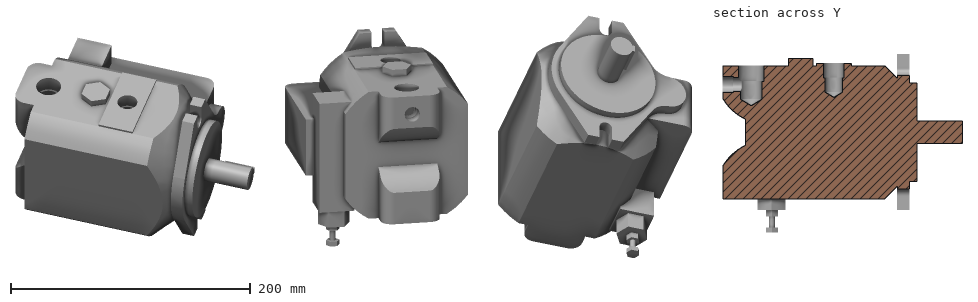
import cadquery as cq
import math


housing_length = 127.0
housing_radius = 65.0
cone_small_radius = 45.3
cone_length = housing_radius - cone_small_radius
housing_half_height = 55.7
housing_front_flat = -51.1
housing_back_flat = 53.1

flange_thickness = 10.2
pilot_radius = 41.3
pilot_end = 16.8
shaft_radius = 9.6
shaft_end = 54.7
key_length = 25.3
key_width = 6.0
key_top = 11.6

flange_half_height = 65.0
flange_tip_half_width = 15.5
flange_radius = 47.5
flange_corner_z = 24.0
flange_corner_y = math.sqrt(flange_radius**2 - flange_corner_z**2)
bolt_slot_width = 10.8
bolt_slot_center_z = 53.1
ear_radius = 16.0
ear_center_y = 54.1

boss_rear = -145.8
boss_half_width = 25.0
boss_corner_radius = 10.0
boss_rear_z = 28.0
boss_middle_x = -136.0
boss_middle_z = 16.6
boss_root_z = 10.8

drill_half_angle = 59.0
rear_port_x = -122.0
rear_port = (20.9, 17.6, 13.2, 28.0)
front_port_x = -53.0
front_port = (16.6, 14.0, 12.0, 24.0)
gauge_port_z = 39.9
gauge_port = (12.8, 11.2, 9.0, 16.0)

pad_start = -67.8
pad_length = 29.7
pad_height = 1.8
pad_half_width = 33.0
plug_x = -80.6
plug_across_flats = 21.0
plug_height = 6.0

cover_length = 96.6
cover_half_height = 24.7
cover_back = 80.8
cover_corner_radius = 9.0
valve_start = -119.7
valve_length = 29.7
valve_inner_y = 44.1
valve_outer_y = 73.8
valve_bottom = -50.3
valve_top = 45.5

cap_x = -104.9
cap_y = 58.7
screw_x = -104.5
screw_y = 59.5
cap_across_flats = 23.3
nut_across_flats = 9.8
screw_diameter = 5.0
cap_bottom = -65.0
nut_bottom = -70.4
head_top = -79.8
head_bottom = -84.0


def box(x_range, y_range, z_range):
    """Box between two limits along each axis."""
    (x0, x1), (y0, y1), (z0, z1) = x_range, y_range, z_range
    return cq.Workplane("XY").box(x1 - x0, y1 - y0, z1 - z0, centered=False).translate((x0, y0, z0))


def hexagon(x, y, across_flats, bottom, top):
    """Vertical hexagonal prism with two corners pointing along Y."""
    across_corners = across_flats / math.cos(math.radians(30))
    prism = cq.Workplane("XY").polygon(6, across_corners).extrude(top - bottom)
    return prism.rotate((0, 0, 0), (0, 0, 1), 30).translate((x, y, bottom))


def port_cutter(thread_diameter, drill_diameter, thread_depth, drill_depth):
    """Stepped hole with a conical bottom, running down from the origin."""
    thread_radius = thread_diameter / 2
    drill_radius = drill_diameter / 2
    tip_depth = drill_depth + drill_radius / math.tan(math.radians(drill_half_angle))
    return (
        cq.Workplane("XZ")
        .polyline([
            (0, 0),
            (-thread_radius, 0),
            (-thread_radius, -thread_depth),
            (-drill_radius, -thread_depth),
            (-drill_radius, -drill_depth),
            (0, -tip_depth),
        ])
        .close()
        .revolve(360, (0, 0, 0), (0, 1, 0))
    )


def make_housing():
    turned = (
        cq.Workplane("XZ")
        .polyline([
            (-housing_length, 0),
            (-housing_length, housing_radius),
            (-cone_length, housing_radius),
            (0, cone_small_radius),
            (0, 0),
        ])
        .close()
        .revolve(360, (0, 0, 0), (1, 0, 0))
    )
    flats = box(
        (-housing_length, 0),
        (housing_front_flat, housing_back_flat),
        (-housing_half_height, housing_half_height),
    )
    return turned.intersect(flats)


def make_drive_end():
    turned = (
        cq.Workplane("XZ")
        .polyline([
            (0, 0),
            (0, pilot_radius),
            (pilot_end, pilot_radius),
            (pilot_end, shaft_radius),
            (shaft_end, shaft_radius),
            (shaft_end, 0),
        ])
        .close()
        .revolve(360, (0, 0, 0), (1, 0, 0))
    )
    key = box((shaft_end - key_length, shaft_end), (0, key_top), (-key_width / 2, key_width / 2))
    return turned.union(key)


def make_flange():
    plate = (
        cq.Workplane("YZ")
        .moveTo(-flange_tip_half_width, flange_half_height)
        .lineTo(flange_tip_half_width, flange_half_height)
        .lineTo(flange_corner_y, flange_corner_z)
        .threePointArc((flange_radius, 0), (flange_corner_y, -flange_corner_z))
        .lineTo(flange_tip_half_width, -flange_half_height)
        .lineTo(-flange_tip_half_width, -flange_half_height)
        .lineTo(-flange_corner_y, -flange_corner_z)
        .threePointArc((-flange_radius, 0), (-flange_corner_y, flange_corner_z))
        .close()
        .extrude(flange_thickness)
    )
    for side in (1, -1):
        slot_end_z = side * bolt_slot_center_z
        bolt_hole = (
            cq.Workplane("YZ").center(0, slot_end_z).circle(bolt_slot_width / 2).extrude(flange_thickness)
        )
        mouth = box(
            (0, flange_thickness),
            (-bolt_slot_width / 2, bolt_slot_width / 2),
            sorted((slot_end_z, side * flange_half_height)),
        )
        plate = plate.cut(bolt_hole).cut(mouth)
    return plate.union(make_flange_ear())


def make_flange_ear():
    """Round ear on the +Y side, blended into the slanted flange edges by tangent hollows."""
    edge_y = flange_corner_y - flange_tip_half_width
    edge_z = flange_half_height - flange_corner_z
    edge_length = math.hypot(edge_y, edge_z)
    normal_y = edge_z / edge_length
    normal_z = edge_y / edge_length
    offset_y = flange_corner_y - ear_center_y
    gap = offset_y**2 + flange_corner_z**2 - ear_radius**2
    hollow_radius = gap / (2 * (ear_radius - offset_y * normal_y - flange_corner_z * normal_z))
    hollow_y = flange_corner_y + hollow_radius * normal_y
    hollow_z = flange_corner_z + hollow_radius * normal_z
    ear_share = ear_radius / (ear_radius + hollow_radius)
    touch_y = ear_center_y + ear_share * (hollow_y - ear_center_y)
    touch_z = ear_share * hollow_z
    start_angle = math.atan2(flange_corner_z - hollow_z, flange_corner_y - hollow_y)
    end_angle = math.atan2(touch_z - hollow_z, touch_y - hollow_y)
    middle_angle = (start_angle % math.tau + end_angle % math.tau) / 2
    middle_y = hollow_y + hollow_radius * math.cos(middle_angle)
    middle_z = hollow_z + hollow_radius * math.sin(middle_angle)
    return (
        cq.Workplane("YZ")
        .moveTo(0, flange_corner_z)
        .lineTo(flange_corner_y, flange_corner_z)
        .threePointArc((middle_y, middle_z), (touch_y, touch_z))
        .threePointArc((ear_center_y + ear_radius, 0), (touch_y, -touch_z))
        .threePointArc((middle_y, -middle_z), (flange_corner_y, -flange_corner_z))
        .lineTo(0, -flange_corner_z)
        .close()
        .extrude(flange_thickness)
    )


def make_upper_boss():
    root = -housing_length
    return (
        cq.Workplane("XZ")
        .moveTo(root, housing_half_height)
        .lineTo(boss_rear, housing_half_height)
        .lineTo(boss_rear, boss_rear_z)
        .threePointArc((boss_middle_x, boss_middle_z), (root, boss_root_z))
        .close()
        .extrude(boss_half_width, both=True)
        .edges("|Z and <X")
        .fillet(boss_corner_radius)
    )


def make_cover():
    cover = box((-cover_length, 0), (0, cover_back), (-cover_half_height, cover_half_height))
    return cover.edges("|Z and >X and >Y").fillet(cover_corner_radius)


def make_adjusting_screw():
    cap = hexagon(cap_x, cap_y, cap_across_flats, cap_bottom, valve_bottom)
    nut = hexagon(screw_x, screw_y, nut_across_flats, nut_bottom, cap_bottom)
    head = hexagon(screw_x, screw_y, nut_across_flats, head_bottom, head_top)
    stem = (
        cq.Workplane("XY", origin=(screw_x, screw_y, head_top))
        .circle(screw_diameter / 2)
        .extrude(nut_bottom - head_top)
    )
    return cap.union(nut).union(stem).union(head)


upper_boss = make_upper_boss()
lower_boss = upper_boss.mirror("XY")
pad = box(
    (pad_start, pad_start + pad_length),
    (-pad_half_width, pad_half_width),
    (housing_half_height, housing_half_height + pad_height),
)
plug = hexagon(plug_x, 0, plug_across_flats, housing_half_height, housing_half_height + plug_height)
valve_block = box(
    (valve_start, valve_start + valve_length),
    (valve_inner_y, valve_outer_y),
    (valve_bottom, valve_top),
)

solid = make_housing().union(make_cover())
for piece in (make_flange(), make_drive_end(), upper_boss, lower_boss, pad, plug, valve_block):
    solid = solid.union(piece)
solid = solid.union(make_adjusting_screw())

rear_port_cut = port_cutter(*rear_port).translate((rear_port_x, 0, housing_half_height))
front_port_cut = port_cutter(*front_port).translate((front_port_x, 0, housing_half_height + pad_height))
gauge_port_cut = (
    port_cutter(*gauge_port).rotate((0, 0, 0), (0, 1, 0), -90).translate((boss_rear, 0, gauge_port_z))
)
result = solid.cut(rear_port_cut).cut(front_port_cut).cut(gauge_port_cut)